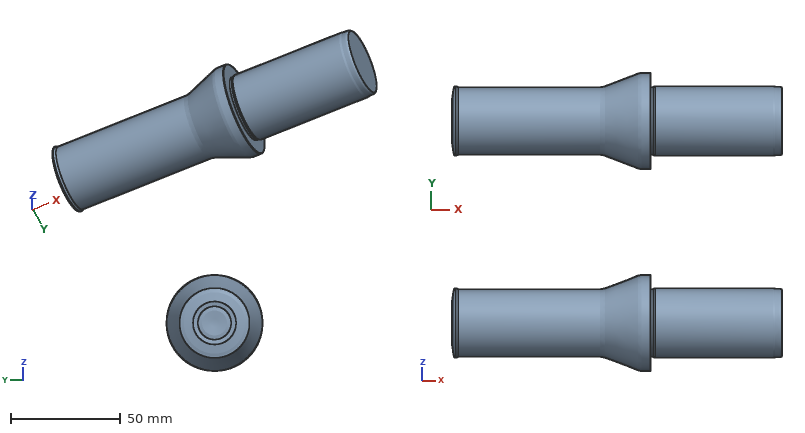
import cadquery as cq
import math

total_length = 151.0
cutting_diameter = 32.0
body_diameter = 31.0
collar_diameter = 44.0
shank_diameter = 32.0
neck_diameter = 31.0
end_diameter = 31.5

head_length = 2.9
point_diameter = 19.7
groove_diameter = 15.2
dish_diameter = 11.4
groove_depth = 0.4
dish_rim_depth = 0.1
dish_depth = 0.7
outer_face_diameter = 28.0
outer_face_setback = 0.6
corner_radius = 0.8
corner_end = 1.75

collar_back = 91.0
collar_back_chamfer = 0.3
cone_angle = 21.0
cone_start = 68.95
cone_foot_fillet = 6.0
cone_top_fillet = 4.0

neck_length = 1.0
shank_step_length = 0.9
end_step_from_tip = 147.8
end_rounding_length = 1.3
end_rounding_depth = 0.7


def revolve_about_x(profile):
    return profile.close().revolve(360, (0, 0, 0), (1, 0, 0))


def make_cutting_head():
    cutting_radius = cutting_diameter / 2
    corner_centre_radius = cutting_radius - corner_radius
    corner_front = corner_end - corner_radius
    corner_mid = corner_radius * math.sqrt(0.5)
    profile = (
        cq.Workplane("XY")
        .moveTo(dish_depth, 0)
        .lineTo(dish_rim_depth, dish_diameter / 2)
        .lineTo(groove_depth, groove_diameter / 2)
        .lineTo(0, point_diameter / 2)
        .lineTo(outer_face_setback, outer_face_diameter / 2)
        .lineTo(corner_front, corner_centre_radius)
        .threePointArc(
            (corner_end - corner_mid, corner_centre_radius + corner_mid),
            (corner_end, cutting_radius),
        )
        .lineTo(head_length, body_diameter / 2)
        .lineTo(head_length, 0)
    )
    return revolve_about_x(profile)


def make_drill_body():
    body_radius = body_diameter / 2
    collar_radius = collar_diameter / 2
    shank_radius = shank_diameter / 2
    neck_radius = neck_diameter / 2
    end_radius = end_diameter / 2
    cone_length = (collar_radius - body_radius) / math.tan(math.radians(cone_angle))
    neck_end = collar_back + neck_length
    profile = (
        cq.Workplane("XY")
        .moveTo(head_length, 0)
        .lineTo(head_length, body_radius)
        .lineTo(cone_start, body_radius)
        .lineTo(cone_start + cone_length, collar_radius)
        .lineTo(collar_back - collar_back_chamfer, collar_radius)
        .lineTo(collar_back, collar_radius - collar_back_chamfer)
        .lineTo(collar_back, neck_radius)
        .lineTo(neck_end, neck_radius)
        .lineTo(neck_end + shank_step_length, shank_radius)
        .lineTo(end_step_from_tip - shank_step_length, shank_radius)
        .lineTo(end_step_from_tip, end_radius)
        .lineTo(total_length - end_rounding_length, end_radius)
        .tangentArcPoint((total_length, end_radius - end_rounding_depth), relative=False)
        .lineTo(total_length, 0)
    )
    body = revolve_about_x(profile)
    body = fillet_ring(body, cone_start, cone_foot_fillet)
    return fillet_ring(body, cone_start + cone_length, cone_top_fillet)


def fillet_ring(body, ring_x, radius):
    margin = 0.05
    ring = cq.selectors.BoxSelector(
        (ring_x - margin, -collar_diameter, -collar_diameter),
        (ring_x + margin, collar_diameter, collar_diameter),
        boundingbox=True,
    )
    return body.edges(ring).fillet(radius)


cutting_head = make_cutting_head()
drill_body = make_drill_body()

result = cq.Compound.makeCompound([cutting_head.val(), drill_body.val()])